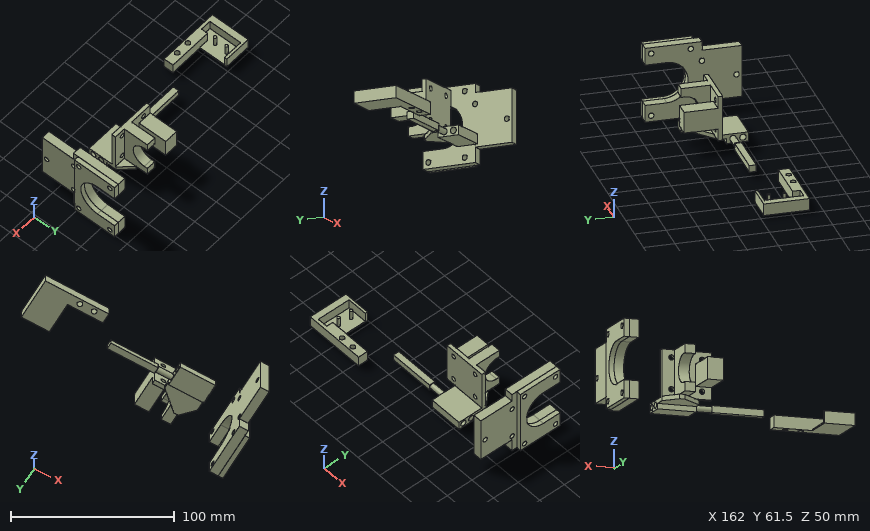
import cadquery as cq


SLOT_CENTRE_Y = 47.8

TRAY_LENGTH = 45.0
TRAY_DEPTH = 29.2
TRAY_BODY_WIDTH = 20.1
TRAY_BOTTOM = 2.3
TRAY_TOP = 10.2
TRAY_ARM_WIDTH = 7.3
TRAY_FLOOR = 0.8
TRAY_LEFT_WALL = 5.0
TRAY_FRONT_WALL = 2.5
TRAY_BACK_WALL = 2.0
TRAY_ARM_START = 12.8
TRAY_HOLE_DIAMETER = 3.4
TRAY_HOLE_Y = 3.0
TRAY_FIRST_HOLE_X = 26.2
TRAY_HOLE_SPACING = 10.0
TRAY_PIN_DIAMETER = 2.1
TRAY_PIN_POSITIONS = [(12.0, 12.6), (12.5, 22.4)]

PLATE_LEFT = 94.3
PLATE_RIGHT = 126.7
PLATE_FRONT = 28.7
PLATE_THICKNESS = 2.9
PLATE_BOTTOM = 10.2
PLATE_HEIGHT = 29.8
PLATE_HOLE_DIAMETER = 3.2
PLATE_HOLE_SPACING = 20.0
PLATE_FIRST_HOLE_X = 100.5
PLATE_CENTRE_Z = PLATE_BOTTOM + PLATE_HEIGHT / 2
BLOCK_WIDTH = 10.4
BLOCK_HEIGHT = 14.1
BLOCK_BACK = 53.1
ARM_LEFT = 111.5
ARM_WIDTH = 7.0
ARM_BACK = 50.2
ARM_SLOT_WIDTH = 18.0

FOOT_LEFT = 101.5
FOOT_FRONT = 10.2
FOOT_HEIGHT = 6.3
FOOT_DEPTH = 14.1
SHELF_THICKNESS = 2.9
SHELF_BACK = 41.0
SHELF_BACK_LEFT = 115.0
SHELF_BACK_RIGHT = ARM_LEFT + ARM_WIDTH
SHELF_LEFT_CORNER_Y = 29.2
SHELF_RIGHT_CORNER_Y = 32.0

ROD_DIAMETER = 4.0
ROD_Y = 20.1
ROD_HOLE_SPACING = 6.3
ROD_Z = PLATE_BOTTOM - FOOT_HEIGHT / 2
BAR_LEFT = 56.9
BAR_LENGTH = 33.7
BAR_SIDE = 4.5

FORK_LEFT = 152.3
FORK_THICKNESS = 6.3
BACKING_THICKNESS = 3.4
FORK_HEIGHT = 50.0
FORK_BACK = 61.5
FORK_SHOULDER_Y = 25.3
BACKING_FRONT = 29.2
TONGUE_BOTTOM = 9.7
TONGUE_TOP = 44.2
FORK_CENTRE_Z = FORK_HEIGHT / 2
FORK_SLOT_WIDTH = 27.0
FORK_HOLE_DIAMETER = 3.4
PRONG_HOLE_YS = [32.5, 57.7]
PRONG_HOLE_SPACING = 42.0
TONGUE_PAIR_Y = 25.5
TONGUE_PAIR_SPACING = 24.0
TONGUE_SINGLE_Y = 3.5


def box(x_range, y_range, z_range):
    """Axis-aligned box between two limits on each axis."""
    (x0, x1), (y0, y1), (z0, z1) = x_range, y_range, z_range
    return cq.Workplane("XY").box(x1 - x0, y1 - y0, z1 - z0, centered=False).translate((x0, y0, z0))


def cylinder_x(x_start, x_end, y, z, diameter):
    """Cylinder along X."""
    circle = cq.Workplane("YZ", origin=(x_start, y, z)).circle(diameter / 2)
    return circle.extrude(x_end - x_start)


def round_ended_slot(x_range, centre_y, centre_z, width, open_end_y):
    """Slot along X with a semicircular inner end, open toward +Y."""
    round_end = cylinder_x(*x_range, centre_y, centre_z, width)
    straight = box(x_range, (centre_y, open_end_y), (centre_z - width / 2, centre_z + width / 2))
    return round_end.union(straight)


def make_tray():
    """L-shaped tray with a recess that opens toward +X, and pins standing flush with its top."""
    body = box((0, TRAY_BODY_WIDTH), (0, TRAY_DEPTH), (TRAY_BOTTOM, TRAY_TOP))
    arm = box((TRAY_ARM_START, TRAY_LENGTH), (0, TRAY_ARM_WIDTH), (TRAY_BOTTOM, TRAY_TOP))
    floor_z = TRAY_BOTTOM + TRAY_FLOOR
    recess = box(
        (TRAY_LEFT_WALL, TRAY_BODY_WIDTH),
        (TRAY_FRONT_WALL, TRAY_DEPTH - TRAY_BACK_WALL),
        (floor_z, TRAY_TOP),
    )
    tray = body.cut(recess).union(arm)
    hole_positions = [(TRAY_FIRST_HOLE_X + i * TRAY_HOLE_SPACING, TRAY_HOLE_Y) for i in range(2)]
    holes = (
        cq.Workplane("XY", origin=(0, 0, TRAY_BOTTOM))
        .pushPoints(hole_positions)
        .circle(TRAY_HOLE_DIAMETER / 2)
        .extrude(TRAY_TOP - TRAY_BOTTOM)
    )
    pins = (
        cq.Workplane("XY", origin=(0, 0, TRAY_BOTTOM))
        .pushPoints(TRAY_PIN_POSITIONS)
        .circle(TRAY_PIN_DIAMETER / 2)
        .extrude(TRAY_TOP - TRAY_BOTTOM)
    )
    return tray.cut(holes).union(pins)


def make_foot():
    """Foot block and shelf, with two rod holes running through along X."""
    foot = box(
        (FOOT_LEFT, PLATE_RIGHT),
        (FOOT_FRONT, FOOT_FRONT + FOOT_DEPTH),
        (PLATE_BOTTOM - FOOT_HEIGHT, PLATE_BOTTOM),
    )
    shelf = (
        cq.Workplane("XY", origin=(0, 0, PLATE_BOTTOM - SHELF_THICKNESS))
        .moveTo(FOOT_LEFT, FOOT_FRONT)
        .lineTo(PLATE_RIGHT, FOOT_FRONT)
        .lineTo(PLATE_RIGHT, SHELF_RIGHT_CORNER_Y)
        .lineTo(SHELF_BACK_RIGHT, SHELF_BACK)
        .lineTo(SHELF_BACK_LEFT, SHELF_BACK)
        .lineTo(FOOT_LEFT, SHELF_LEFT_CORNER_Y)
        .close()
        .extrude(SHELF_THICKNESS)
    )
    foot = foot.union(shelf)
    for hole_y in (ROD_Y, ROD_Y - ROD_HOLE_SPACING):
        foot = foot.cut(cylinder_x(FOOT_LEFT, PLATE_RIGHT, hole_y, ROD_Z, ROD_DIAMETER))
    return foot


def make_bracket():
    """Upright plate with its block, slotted arm and foot."""
    plate_top = PLATE_BOTTOM + PLATE_HEIGHT
    plate = box(
        (PLATE_LEFT, PLATE_RIGHT),
        (PLATE_FRONT, PLATE_FRONT + PLATE_THICKNESS),
        (PLATE_BOTTOM, plate_top),
    )
    block = box(
        (PLATE_LEFT, PLATE_LEFT + BLOCK_WIDTH),
        (PLATE_FRONT, BLOCK_BACK),
        (PLATE_CENTRE_Z - BLOCK_HEIGHT / 2, PLATE_CENTRE_Z + BLOCK_HEIGHT / 2),
    )
    arm_x = (ARM_LEFT, ARM_LEFT + ARM_WIDTH)
    arm = box(arm_x, (PLATE_FRONT, ARM_BACK), (PLATE_BOTTOM, plate_top))
    arm = arm.cut(
        round_ended_slot(arm_x, SLOT_CENTRE_Y, PLATE_CENTRE_Z, ARM_SLOT_WIDTH, ARM_BACK)
    )
    holes = (
        cq.Workplane("XZ", origin=(PLATE_FIRST_HOLE_X + PLATE_HOLE_SPACING / 2, PLATE_FRONT, PLATE_CENTRE_Z))
        .rarray(PLATE_HOLE_SPACING, PLATE_HOLE_SPACING, 2, 2)
        .circle(PLATE_HOLE_DIAMETER / 2)
        .extrude(-PLATE_THICKNESS)
    )
    return plate.union(block).union(arm).union(make_foot()).cut(holes)


def make_rod():
    """Round rod that fills one foot hole and butts against the square bar."""
    return cylinder_x(BAR_LEFT + BAR_LENGTH, PLATE_RIGHT, ROD_Y, ROD_Z, ROD_DIAMETER)


def make_bar():
    """Square bar on the axis of the rod."""
    square = cq.Workplane("YZ", origin=(BAR_LEFT, ROD_Y, ROD_Z)).rect(BAR_SIDE, BAR_SIDE)
    return square.extrude(BAR_LENGTH)


def cut_fork_openings(body, x_range):
    """Cut the central opening and the four prong holes."""
    body = body.cut(
        round_ended_slot(x_range, SLOT_CENTRE_Y, FORK_CENTRE_Z, FORK_SLOT_WIDTH, FORK_BACK)
    )
    for y in PRONG_HOLE_YS:
        for side in (-1, 1):
            z = FORK_CENTRE_Z + side * PRONG_HOLE_SPACING / 2
            body = body.cut(cylinder_x(*x_range, y, z, FORK_HOLE_DIAMETER))
    return body


def make_fork_plate():
    """Two-pronged plate with a tongue toward the front."""
    x_range = (FORK_LEFT, FORK_LEFT + FORK_THICKNESS)
    fork = box(x_range, (FORK_SHOULDER_Y, FORK_BACK), (0, FORK_HEIGHT))
    fork = fork.union(box(x_range, (0, FORK_SHOULDER_Y), (TONGUE_BOTTOM, TONGUE_TOP)))
    fork = cut_fork_openings(fork, x_range)
    tongue_holes = [(TONGUE_SINGLE_Y, FORK_CENTRE_Z)]
    for side in (-1, 1):
        tongue_holes.append((TONGUE_PAIR_Y, FORK_CENTRE_Z + side * TONGUE_PAIR_SPACING / 2))
    for y, z in tongue_holes:
        fork = fork.cut(cylinder_x(*x_range, y, z, FORK_HOLE_DIAMETER))
    return fork


def make_backing_plate():
    """Thin plate on the +X face of the fork, with the same slot and prong holes."""
    backing_left = FORK_LEFT + FORK_THICKNESS
    x_range = (backing_left, backing_left + BACKING_THICKNESS)
    backing = box(x_range, (BACKING_FRONT, FORK_BACK), (0, FORK_HEIGHT))
    return cut_fork_openings(backing, x_range)


tray = make_tray()
bracket = make_bracket()
rod = make_rod()
bar = make_bar()
fork_plate = make_fork_plate()
backing_plate = make_backing_plate()

result = cq.Compound.makeCompound(
    [tray.val(), bracket.val(), rod.val(), bar.val(), fork_plate.val(), backing_plate.val()]
)